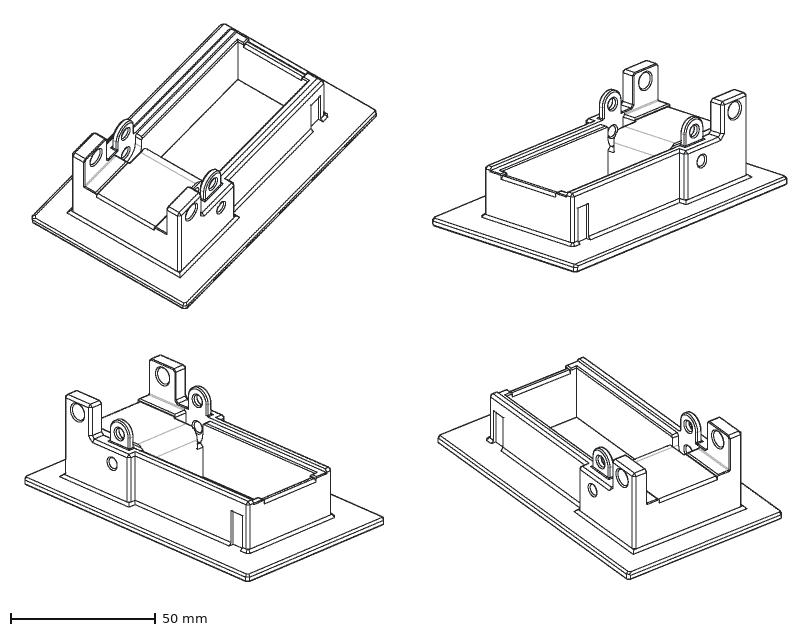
import cadquery as cq
import math

BEVEL = 1.0
SMALL_BEVEL = 0.5
NEARLY_FULL = 0.999

PLATE_WIDTH = 67.0
PLATE_LENGTH = 111.0
PLATE_THICKNESS = 3.0
PLATE_BEVEL_HEIGHT = 0.5

RIM_Z = 22.0
PILLAR_TOP_Z = 34.6
FRAME_HALF_WIDTH = 20.5
FRAME_BACK_Y = 42.5
BLOCK_HALF_WIDTH = 23.5
BLOCK_FRONT_Y = -45.5
BLOCK_BACK_Y = -13.2
PILLAR_BACK_Y = -32.3

SLOT_BEVEL = 0.3
SLOT_HALF_WIDTH = 17.8
LEDGE_Z = 20.8
RECESS_HALF_WIDTH = 12.5
RECESS_Z = 20.0

OPENING_HALF_WIDTH = 15.1
OPENING_BACK_Y = 39.4
OPENING_FRONT_Y = -16.0
OPENING_FILLET = 4.8

HINGE_Y = -21.5
HINGE_HOLE_Z = 16.2
LUG_HOLE_Z = 26.4
LUG_RADIUS = 4.9
LUG_THICKNESS = 2.3
HINGE_HOLE_DIAMETER = 4.0
KNUCKLE_RADIUS = 5.4
KNUCKLE_MOUTH_BEVEL = 0.8
KNUCKLE_INNER_X = 12.3
LIP_START_Y = -17.3

PILLAR_HOLE_DIAMETER = 6.0
PILLAR_HOLE_Y = -38.6
PILLAR_HOLE_Z = 30.0

NOTCH_BACK_Y = 39.7
NOTCH_FRONT_Y = 34.2
NOTCH_TOP_Z = 16.2
NOTCH_DEPTH = 1.0


def box(x0, x1, y0, y1, z0, z1):
    """Block between two opposite corners."""
    return cq.Workplane("XY").box(x1 - x0, y1 - y0, z1 - z0, centered=False).translate((x0, y0, z0))


def both_sides(shape):
    """The shape together with its mirror image across X = 0."""
    return shape.union(shape.mirror("YZ"))


def footprint():
    """T-shaped outline of the frame walls and the wider hinge block."""
    return cq.Workplane("XY").workplane(offset=PLATE_THICKNESS).polyline([
        (-BLOCK_HALF_WIDTH, BLOCK_FRONT_Y),
        (BLOCK_HALF_WIDTH, BLOCK_FRONT_Y),
        (BLOCK_HALF_WIDTH, BLOCK_BACK_Y),
        (FRAME_HALF_WIDTH, BLOCK_BACK_Y),
        (FRAME_HALF_WIDTH, FRAME_BACK_Y),
        (-FRAME_HALF_WIDTH, FRAME_BACK_Y),
        (-FRAME_HALF_WIDTH, BLOCK_BACK_Y),
        (-BLOCK_HALF_WIDTH, BLOCK_BACK_Y),
    ]).close()


def plate():
    slab = box(-PLATE_WIDTH / 2, PLATE_WIDTH / 2, -PLATE_LENGTH / 2, PLATE_LENGTH / 2, 0, PLATE_THICKNESS)
    slab = slab.edges("|Z").chamfer(BEVEL)
    slab = slab.faces("<Z").edges().chamfer(PLATE_BEVEL_HEIGHT)
    return slab.faces(">Z").edges().chamfer(PLATE_BEVEL_HEIGHT, BEVEL)


def foot_flare():
    """45 degree skirt where the walls stand on the plate."""
    skirt = footprint().offset2D(BEVEL, "intersection").extrude(BEVEL)
    skirt = skirt.edges("|Z and >Y").chamfer(BEVEL)
    return skirt.faces(">Z").edges().chamfer(NEARLY_FULL * BEVEL)


def raised_body():
    """Solid body with the pillars still joined; outer edges bevelled, plus the pillar roots."""
    body = footprint().extrude(RIM_Z - PLATE_THICKNESS)
    body = body.union(box(-BLOCK_HALF_WIDTH, BLOCK_HALF_WIDTH, BLOCK_FRONT_Y, PILLAR_BACK_Y,
                          PLATE_THICKNESS, PILLAR_TOP_Z)).clean()
    reach = FRAME_HALF_WIDTH + SMALL_BEVEL
    concave_corners = cq.selectors.BoxSelector(
        (-reach, BLOCK_BACK_Y - SMALL_BEVEL, PLATE_THICKNESS),
        (reach, BLOCK_BACK_Y + SMALL_BEVEL, RIM_Z - SMALL_BEVEL))
    outer_edges = body.edges(cq.selectors.SubtractSelector(
        cq.selectors.StringSyntaxSelector("not <Z"), concave_corners))
    return outer_edges.chamfer(BEVEL)


def channel():
    """Stepped channel along Y with bevelled steps down to the recess."""
    top = PILLAR_TOP_Z + 1.1
    step_z = LEDGE_Z - SMALL_BEVEL
    step_x = RECESS_HALF_WIDTH + SMALL_BEVEL
    return (
        cq.Workplane("XZ").polyline([
            (-SLOT_HALF_WIDTH, top), (-SLOT_HALF_WIDTH, LEDGE_Z), (-step_x, LEDGE_Z),
            (-RECESS_HALF_WIDTH, step_z), (-RECESS_HALF_WIDTH, RECESS_Z),
            (RECESS_HALF_WIDTH, RECESS_Z), (RECESS_HALF_WIDTH, step_z),
            (step_x, LEDGE_Z), (SLOT_HALF_WIDTH, LEDGE_Z), (SLOT_HALF_WIDTH, top),
        ]).close().extrude(PLATE_LENGTH / 2, both=True))


def opening():
    """Rectangular window through the plate with a bevelled mouth at ledge height."""
    shaft = box(-OPENING_HALF_WIDTH, OPENING_HALF_WIDTH, OPENING_FRONT_Y, OPENING_BACK_Y, 0, LEDGE_Z)
    mouth = (
        cq.Workplane("XY", origin=(0, (OPENING_FRONT_Y + OPENING_BACK_Y) / 2, LEDGE_Z))
        .rect(2 * (OPENING_HALF_WIDTH + SMALL_BEVEL), OPENING_BACK_Y - OPENING_FRONT_Y + 2 * SMALL_BEVEL)
        .extrude(-SMALL_BEVEL, taper=45))
    return shaft.union(mouth)


def cross_bevel(edge_y, edge_z, size, half_width, side):
    """Cutter that bevels an edge along X; side is +1 if the edge faces +Y, else -1."""
    return (
        cq.Workplane("YZ").polyline([
            (edge_y - side * size, edge_z), (edge_y + side * size, edge_z),
            (edge_y + side * size, edge_z - 2 * size),
        ]).close().extrude(half_width, both=True))


def opening_rounding():
    """Cutter that rounds the recess floor down into the opening."""
    arc_start_y = OPENING_FRONT_Y - OPENING_FILLET
    side_z = RECESS_Z - OPENING_FILLET
    return (
        cq.Workplane("YZ").moveTo(arc_start_y, RECESS_Z)
        .radiusArc((OPENING_FRONT_Y, side_z), OPENING_FILLET)
        .lineTo(OPENING_FRONT_Y, LEDGE_Z)
        .lineTo(arc_start_y, LEDGE_Z)
        .close().extrude(OPENING_HALF_WIDTH, both=True))


def u_shape(x_start, thickness, radius, centre_z, end_z):
    """Plate normal to X: half disc about the hinge line, carried straight on to end_z."""
    away = 1 if centre_z > end_z else -1
    return (
        cq.Workplane("YZ", origin=(x_start, HINGE_Y, 0))
        .moveTo(-radius, end_z).lineTo(-radius, centre_z)
        .threePointArc((0, centre_z + away * radius), (radius, centre_z))
        .lineTo(radius, end_z).close().extrude(thickness))


def knuckle_pocket():
    """Round-bottomed pocket beside the +X wall, with bevelled mouth, open to the opening."""
    width = SLOT_HALF_WIDTH - KNUCKLE_INNER_X
    pocket = u_shape(KNUCKLE_INNER_X, width, KNUCKLE_RADIUS, HINGE_HOLE_Z, LEDGE_Z)
    mouth_radius = KNUCKLE_RADIUS + KNUCKLE_MOUTH_BEVEL
    mouth = (
        cq.Workplane("YZ", origin=(KNUCKLE_INNER_X, HINGE_Y, 0)).polyline([
            (-mouth_radius, LEDGE_Z), (mouth_radius, LEDGE_Z),
            (KNUCKLE_RADIUS, LEDGE_Z - KNUCKLE_MOUTH_BEVEL),
            (-KNUCKLE_RADIUS, LEDGE_Z - KNUCKLE_MOUTH_BEVEL),
        ]).close().extrude(width))
    side_bevel = (
        cq.Workplane("XZ", origin=(0, HINGE_Y, 0)).polyline([
            (KNUCKLE_INNER_X - SMALL_BEVEL, RECESS_Z), (KNUCKLE_INNER_X, RECESS_Z),
            (KNUCKLE_INNER_X, RECESS_Z - SMALL_BEVEL),
        ]).close().extrude(KNUCKLE_RADIUS, both=True))
    lip_start_z = HINGE_HOLE_Z - math.sqrt(KNUCKLE_RADIUS**2 - (LIP_START_Y - HINGE_Y)**2)
    lip = (
        cq.Workplane("YZ", origin=(KNUCKLE_INNER_X, 0, 0)).polyline([
            (LIP_START_Y, LEDGE_Z), (LIP_START_Y, lip_start_z),
            (OPENING_FRONT_Y, lip_start_z - (OPENING_FRONT_Y - LIP_START_Y)), (OPENING_FRONT_Y, LEDGE_Z),
        ]).close().extrude(OPENING_HALF_WIDTH - KNUCKLE_INNER_X))
    return pocket.union(mouth).union(side_bevel).union(lip)


def lug():
    """Rounded ear standing on the +X rim."""
    ear = u_shape(SLOT_HALF_WIDTH, LUG_THICKNESS, LUG_RADIUS, LUG_HOLE_Z, RIM_Z)
    return ear.faces("<X or >X").edges("not <Z").chamfer(SMALL_BEVEL)


def lug_foot():
    """45 degree skirt where the +X lug stands on the rim."""
    return (
        cq.Workplane("XY", origin=(SLOT_HALF_WIDTH, HINGE_Y, RIM_Z))
        .rect(2 * (LUG_THICKNESS + SLOT_BEVEL), 2 * (LUG_RADIUS + SLOT_BEVEL))
        .extrude(SLOT_BEVEL, taper=45)
        .intersect(box(SLOT_HALF_WIDTH, BLOCK_HALF_WIDTH, BLOCK_FRONT_Y, BLOCK_BACK_Y,
                       RIM_Z, PILLAR_TOP_Z)))


def bevel_slot_edges(body):
    """Bevel the edges of both slot walls, forward of the lugs and over the pillars."""
    back_y = HINGE_Y - LUG_RADIUS
    reach = 0.1
    for wall_x in (-SLOT_HALF_WIDTH, SLOT_HALF_WIDTH):
        body = body.edges(cq.selectors.BoxSelector(
            (wall_x - reach, BLOCK_FRONT_Y - reach, LEDGE_Z + reach),
            (wall_x + reach, back_y, PILLAR_TOP_Z + reach))).chamfer(SLOT_BEVEL)
    return body


def slot_root():
    """Concave rounding between the ledge and the +X slot wall, in front of the knuckle pocket."""
    back_y = HINGE_Y - KNUCKLE_RADIUS - KNUCKLE_MOUTH_BEVEL
    return (
        cq.Workplane("XZ", origin=(0, back_y, 0))
        .moveTo(SLOT_HALF_WIDTH, LEDGE_Z).lineTo(SLOT_HALF_WIDTH, LEDGE_Z + SLOT_BEVEL)
        .radiusArc((SLOT_HALF_WIDTH - SLOT_BEVEL, LEDGE_Z), SLOT_BEVEL)
        .close().extrude(back_y - BLOCK_FRONT_Y - SLOT_BEVEL))


def cross_hole(y, z, diameter, inner_x, outer_x):
    """Hole along X from inner_x out to outer_x, with both mouths bevelled."""
    radius = diameter / 2
    mouth_radius = radius + SMALL_BEVEL
    return (
        cq.Workplane("XY", origin=(0, y, z)).polyline([
            (inner_x, 0), (inner_x, mouth_radius), (inner_x + SMALL_BEVEL, radius),
            (outer_x - SMALL_BEVEL, radius), (outer_x, mouth_radius), (outer_x, 0),
        ]).close().revolve(360, (0, 0, 0), (1, 0, 0)))


def hinge_bore():
    """Straight hole on the hinge line right across the block."""
    return (
        cq.Workplane("YZ", origin=(0, HINGE_Y, HINGE_HOLE_Z))
        .circle(HINGE_HOLE_DIAMETER / 2).extrude(BLOCK_HALF_WIDTH, both=True))


def notch():
    """Shallow pocket low on the outside of the +X wall, near the back."""
    return box(FRAME_HALF_WIDTH - NOTCH_DEPTH, FRAME_HALF_WIDTH + BEVEL, NOTCH_FRONT_Y, NOTCH_BACK_Y,
               PLATE_THICKNESS, NOTCH_TOP_Z)


result = plate().union(foot_flare()).union(raised_body())
result = result.cut(channel()).cut(opening()).cut(opening_rounding())

result = result.cut(both_sides(knuckle_pocket())).union(both_sides(lug()))
result = bevel_slot_edges(result)
result = result.union(both_sides(lug_foot())).union(both_sides(slot_root()))

for end_y, side in ((BLOCK_FRONT_Y, -1), (FRAME_BACK_Y, 1)):
    result = result.cut(cross_bevel(end_y, LEDGE_Z, SLOT_BEVEL, SLOT_HALF_WIDTH, side))
    result = result.cut(cross_bevel(end_y, RECESS_Z, BEVEL, RECESS_HALF_WIDTH, side))
result = result.cut(cross_bevel(OPENING_BACK_Y, RECESS_Z, BEVEL, RECESS_HALF_WIDTH, -1))

result = result.cut(hinge_bore())
lug_outer_x = SLOT_HALF_WIDTH + LUG_THICKNESS
for hole in (
    cross_hole(HINGE_Y, HINGE_HOLE_Z, HINGE_HOLE_DIAMETER, SLOT_HALF_WIDTH, BLOCK_HALF_WIDTH),
    cross_hole(HINGE_Y, LUG_HOLE_Z, HINGE_HOLE_DIAMETER, SLOT_HALF_WIDTH, lug_outer_x),
    cross_hole(PILLAR_HOLE_Y, PILLAR_HOLE_Z, PILLAR_HOLE_DIAMETER, SLOT_HALF_WIDTH, BLOCK_HALF_WIDTH),
    notch(),
):
    result = result.cut(both_sides(hole))

result = result.solids()